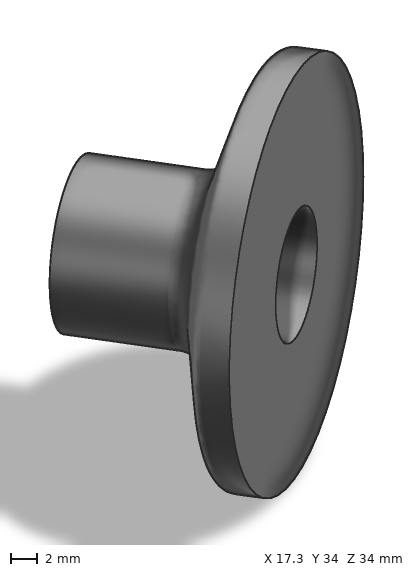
import cadquery as cq
import math

length = 17.3
flange_radius = 34 / 2
tube_radius = 13.8 / 2
bore_radius = 10.5 / 2

rim_width = 2.9
cone_angle = math.radians(20)
neck_fillet = 2.0
rim_fillet = 0.8

cone_outer_x = length - rim_width
cone_inner_x = cone_outer_x - (flange_radius - tube_radius) * math.tan(cone_angle)

body = (
    cq.Workplane("XY")
    .polyline([
        (0, 0),
        (0, tube_radius),
        (cone_inner_x, tube_radius),
        (cone_outer_x, flange_radius),
        (length, flange_radius),
        (length, 0),
    ])
    .close()
    .revolve(360, (0, 0, 0), (1, 0, 0))
)


def round_edge(solid, x, fillet_radius):
    """Fillet the circular edge whose plane lies at x."""
    margin = 0.05
    reach = 2 * flange_radius
    slab = cq.selectors.BoxSelector(
        (x - margin, -reach, -reach),
        (x + margin, reach, reach),
    )
    return solid.edges("%CIRCLE").edges(slab).fillet(fillet_radius)


body = round_edge(body, cone_inner_x, neck_fillet)
body = round_edge(body, cone_outer_x, rim_fillet)

bore = cq.Workplane("YZ").circle(bore_radius).extrude(length)

result = body.cut(bore)